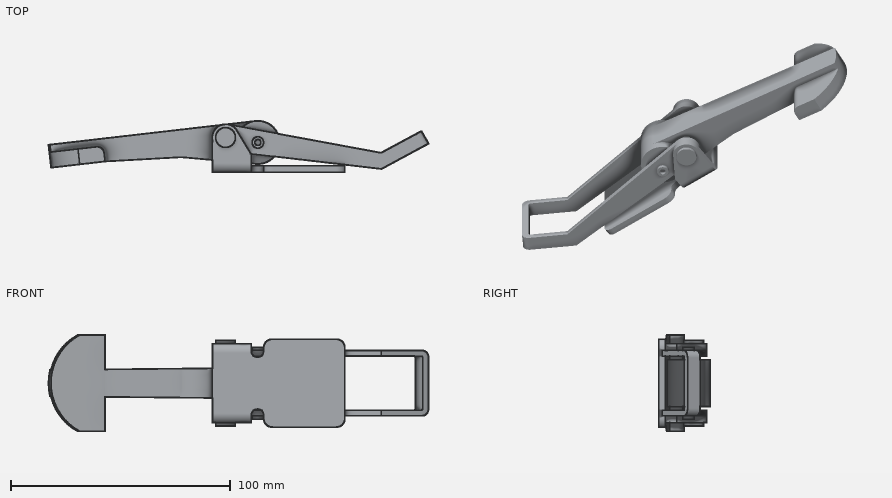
import cadquery as cq
import math


PIVOT_Y = 16.0
PIVOT = (0, PIVOT_Y)
PIN_HEAD_RADIUS = 4.5
PIN_SHAFT_RADIUS = 2.8
PIN_HALF_LENGTH = 19.5

SHEET = 3.1
EYE_RADIUS = 6.0
WALL_OUTER_Z = 18.0
WALL_INNER_Z = WALL_OUTER_Z - SHEET
BEND_OUTER_RADIUS = 4.2
BEND_INNER_RADIUS = BEND_OUTER_RADIUS - SHEET
WALL_END_X = 11.8
WALL_END_HEIGHT = 8.1
NOTCH_RADIUS = 2.8
NOTCH_DEPTH_Z = 11.8
PLATE_HALF_WIDTH = 20.0
PLATE_END_X = 54.3
PLATE_CORNER_RADIUS = 4.0

RIVET = (14.7, 13.7)
RIVET_RADIUS = 2.6
RIVET_END_Z = 16.5
RIVET_RECESS_RADIUS = 1.4
RIVET_RECESS_DEPTH = 1.7
RIVET_INNER_Z = 5.2

HUB_RADIUS = 9.9
HUB_HALF_WIDTH = 10.7
ARM_TIP = (-80.6, 12.6)
ARM_BEND = (-20.0, 7.0)
ARM_TIP_HALF_WIDTH = 6.0
ARM_HUB_HALF_WIDTH = 7.1
HEAD_DEPTH = 10.5
HEAD_THICKNESS = 7.1
HEAD_LENGTH = 24.7
HEAD_HALF_WIDTH = 22.0
HEAD_ARC_LENGTH = 13.1
HEAD_EDGE_RADIUS = 3.1

LOOP_THICKNESS = 2.6
CROSSBAR_THICKNESS = 3.1
LOOP_OUTER_Z = WALL_INNER_Z
LOOP_INNER_Z = LOOP_OUTER_Z - LOOP_THICKNESS
LOOP_BEND_TOP = (70.8, 9.0)
LOOP_BEND_BOTTOM = (71.0, 1.5)
LOOP_TIP_TOP = (89.1, 18.9)
LOOP_TIP_BOTTOM = (92.4, 13.1)
LOOP_CORNER_RADIUS = 3.3
LOOP_INNER_CORNER_RADIUS = LOOP_CORNER_RADIUS - LOOP_THICKNESS


def tangent_point(point, center, radius, side):
    """Where a line from point touches a circle; side is +1 or -1 for the two possible lines."""
    dx = point[0] - center[0]
    dy = point[1] - center[1]
    angle = math.atan2(dy, dx) + side * math.acos(radius / math.hypot(dx, dy))
    return (center[0] + radius * math.cos(angle), center[1] + radius * math.sin(angle))


def prism(outline, half_width):
    """Extrude a closed XY outline equally to both sides of Z = 0."""
    return outline.extrude(half_width, both=True)


def cylinder(x, y, radius, half_length):
    """A cylinder along Z, centred on Z = 0."""
    return prism(cq.Workplane("XY").center(x, y).circle(radius), half_length)


def make_pin():
    shaft = cylinder(*PIVOT, PIN_SHAFT_RADIUS, PIN_HALF_LENGTH)
    heads = cylinder(*PIVOT, PIN_HEAD_RADIUS, PIN_HALF_LENGTH)
    between_heads = cylinder(*PIVOT, PIN_HEAD_RADIUS, WALL_OUTER_Z)
    return heads.cut(between_heads).union(shaft)


def channel_block(bottom_y, half_width, bend_radius):
    """A block as long as the channel, from bottom_y to the wall tops, with rounded lower edges."""
    height = PIVOT_Y + EYE_RADIUS - bottom_y
    return (
        cq.Workplane("YZ", origin=(-EYE_RADIUS, bottom_y + height / 2, 0))
        .rect(height, 2 * half_width)
        .extrude(EYE_RADIUS + WALL_END_X)
        .edges("|X and <Y")
        .fillet(bend_radius)
    )


def make_bracket():
    outside = channel_block(0, WALL_OUTER_Z, BEND_OUTER_RADIUS)
    inside = channel_block(SHEET, WALL_INNER_Z, BEND_INNER_RADIUS)
    slope_foot = (WALL_END_X, WALL_END_HEIGHT)
    slope_top = tangent_point(slope_foot, PIVOT, EYE_RADIUS, 1)
    side = prism(
        cq.Workplane("XY")
        .moveTo(-EYE_RADIUS, 0)
        .lineTo(WALL_END_X, 0)
        .lineTo(*slope_foot)
        .lineTo(*slope_top)
        .threePointArc((0, PIVOT_Y + EYE_RADIUS), (-EYE_RADIUS, PIVOT_Y))
        .close(),
        WALL_OUTER_Z,
    )
    channel = outside.cut(inside).intersect(side)

    plate_start = WALL_END_X + 2 * NOTCH_RADIUS
    plate = (
        cq.Workplane("XY")
        .box(PLATE_END_X - plate_start, SHEET, 2 * PLATE_HALF_WIDTH, centered=(False, False, True))
        .translate((plate_start, 0, 0))
        .edges("|Y")
        .fillet(PLATE_CORNER_RADIUS)
    )
    notch_center_z = NOTCH_DEPTH_Z + NOTCH_RADIUS
    neck = (
        cq.Workplane("XY")
        .box(plate_start - WALL_END_X, SHEET, 2 * notch_center_z, centered=(False, False, True))
        .translate((WALL_END_X, 0, 0))
    )
    bracket = channel.union(plate).union(neck)
    for side_sign in (1, -1):
        notch = (
            cq.Workplane("XZ")
            .center(WALL_END_X + NOTCH_RADIUS, side_sign * notch_center_z)
            .circle(NOTCH_RADIUS)
            .extrude(-SHEET)
        )
        bracket = bracket.cut(notch)
    return bracket.cut(cylinder(*PIVOT, PIN_SHAFT_RADIUS, PIN_HALF_LENGTH))


def rivet_blank(side_sign):
    """A plain rivet on the +Z or -Z side, without its recess."""
    return (
        cq.Workplane("XY", origin=(*RIVET, side_sign * RIVET_INNER_Z))
        .circle(RIVET_RADIUS)
        .extrude(side_sign * (RIVET_END_Z - RIVET_INNER_Z))
    )


def make_rivet(side_sign):
    recess = (
        cq.Workplane("XY", origin=(*RIVET, side_sign * RIVET_END_Z))
        .circle(RIVET_RECESS_RADIUS)
        .extrude(-side_sign * RIVET_RECESS_DEPTH)
    )
    return rivet_blank(side_sign).cut(recess)


def make_handle():
    tip_x, tip_y = ARM_TIP
    hub_top = tangent_point(ARM_TIP, RIVET, HUB_RADIUS, -1)
    hub_bottom = tangent_point(ARM_BEND, RIVET, HUB_RADIUS, 1)
    arm_length = math.dist(ARM_TIP, hub_top)
    along = ((hub_top[0] - tip_x) / arm_length, (hub_top[1] - tip_y) / arm_length)
    down = (along[1], -along[0])
    frame = cq.Plane(origin=(tip_x, tip_y, 0), xDir=(*along, 0), normal=(*down, 0))

    head = (
        cq.Workplane(frame)
        .workplane(offset=HEAD_DEPTH - HEAD_THICKNESS)
        .moveTo(HEAD_ARC_LENGTH, HEAD_HALF_WIDTH)
        .threePointArc((0, 0), (HEAD_ARC_LENGTH, -HEAD_HALF_WIDTH))
        .lineTo(HEAD_LENGTH, -HEAD_HALF_WIDTH)
        .lineTo(HEAD_LENGTH, HEAD_HALF_WIDTH)
        .close()
        .extrude(HEAD_THICKNESS)
        .faces(">X")
        .edges(">Y")
        .fillet(HEAD_EDGE_RADIUS)
    )

    def underside(distance):
        """The XY point at this distance from the tip, level with the head's underside."""
        return (
            tip_x + distance * along[0] + HEAD_DEPTH * down[0],
            tip_y + distance * along[1] + HEAD_DEPTH * down[1],
        )

    side = prism(
        cq.Workplane("XY").polyline(
            [ARM_TIP, underside(0), underside(HEAD_LENGTH), ARM_BEND, hub_bottom, RIVET, hub_top]
        ).close(),
        HUB_HALF_WIDTH,
    )
    front_radius = (HEAD_HALF_WIDTH**2 + HEAD_ARC_LENGTH**2) / (2 * HEAD_ARC_LENGTH)
    arm_arc_length = front_radius - math.sqrt(front_radius**2 - ARM_TIP_HALF_WIDTH**2)
    plan = (
        cq.Workplane(frame)
        .moveTo(arm_arc_length, ARM_TIP_HALF_WIDTH)
        .threePointArc((0, 0), (arm_arc_length, -ARM_TIP_HALF_WIDTH))
        .lineTo(arm_length + HUB_RADIUS, -ARM_HUB_HALF_WIDTH)
        .lineTo(arm_length + HUB_RADIUS, ARM_HUB_HALF_WIDTH)
        .close()
        .extrude(2 * HUB_RADIUS)
    )
    hub = cylinder(*RIVET, HUB_RADIUS, HUB_HALF_WIDTH)
    handle = side.intersect(plan).union(hub).union(head)

    handle = handle.cut(cylinder(*PIVOT, PIN_SHAFT_RADIUS, PIN_HALF_LENGTH))
    for side_sign in (1, -1):
        handle = handle.cut(rivet_blank(side_sign))
    return handle


def make_loop():
    side = prism(
        cq.Workplane("XY")
        .moveTo(*tangent_point(LOOP_BEND_BOTTOM, PIVOT, EYE_RADIUS, -1))
        .threePointArc((-EYE_RADIUS, PIVOT_Y), tangent_point(LOOP_BEND_TOP, PIVOT, EYE_RADIUS, 1))
        .lineTo(*LOOP_BEND_TOP)
        .lineTo(*LOOP_TIP_TOP)
        .lineTo(*LOOP_TIP_BOTTOM)
        .lineTo(*LOOP_BEND_BOTTOM)
        .close(),
        LOOP_OUTER_Z,
    )

    tip_x, tip_y = LOOP_TIP_BOTTOM
    rise = (LOOP_TIP_TOP[0] - tip_x, LOOP_TIP_TOP[1] - tip_y, 0)
    tip_frame = cq.Plane(origin=(tip_x, tip_y, 0), xDir=(rise[1], -rise[0], 0), normal=rise)
    reach = 2 * tip_x

    def u_block(end_gap, half_width, corner_radius):
        """A block that reaches back from the tip, with its two end corners rounded."""
        return (
            cq.Workplane(tip_frame)
            .center(-end_gap - reach / 2, 0)
            .rect(reach, 2 * half_width)
            .extrude(reach, both=True)
            .edges(cq.selectors.ParallelDirSelector(cq.Vector(*rise)))
            .fillet(corner_radius)
        )

    loop = side.intersect(u_block(0, LOOP_OUTER_Z, LOOP_CORNER_RADIUS))
    loop = loop.cut(u_block(CROSSBAR_THICKNESS, LOOP_INNER_Z, LOOP_INNER_CORNER_RADIUS))

    for center, radius in ((PIVOT, PIN_SHAFT_RADIUS), (RIVET, RIVET_RADIUS)):
        loop = loop.cut(cylinder(*center, radius, PIN_HALF_LENGTH))
    return loop


bracket = make_bracket()
handle = make_handle()
loop = make_loop()
pin = make_pin()
rivets = [make_rivet(side_sign) for side_sign in (1, -1)]

result = cq.Compound.makeCompound(
    [bracket.val(), handle.val(), loop.val(), pin.val(), *[rivet.val() for rivet in rivets]]
)